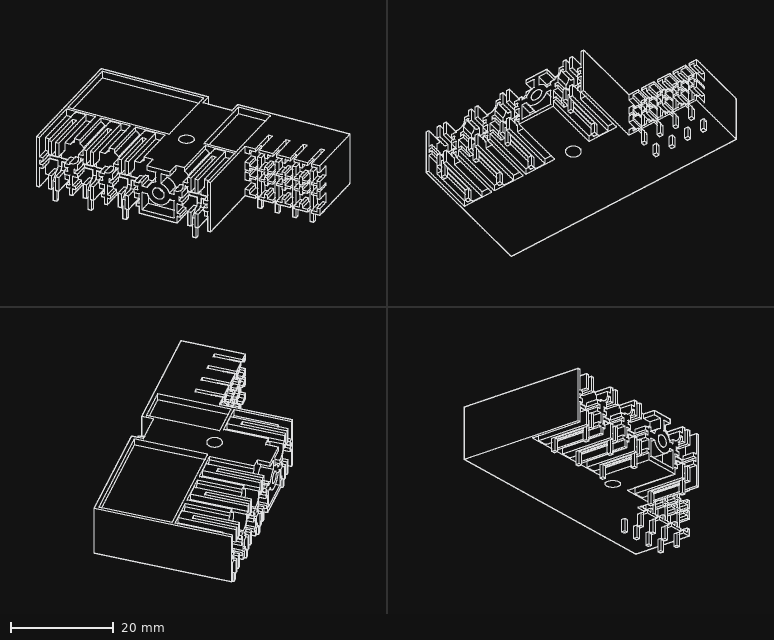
import cadquery as cq

length = 54.3
depth = 28.3
height = 11.35
mid_z = height / 2
pin_drop = 2.65
wall = 0.65
recess = 1.5
shelf_top = height - recess

power_length = 38.0
signal_front = 15.05
opening_depth = 2.65

power_pitch = 7.6
first_terminal = 3.75
terminal_places = (0, 1, 2, 4)
terminal_centers = [first_terminal + power_pitch * i for i in terminal_places]
fin_centers = [first_terminal + power_pitch * (i + 0.5) for i in range(4)]
fin_thickness = 0.65
bay_back = 11.85
prong_width = 2.3
prong_reach = 3.3
prong_setback = 0.15
blade_thickness = 0.8
blade_front = 2.8
pin_front = 0.6
pin_depth = 0.8
slot_back = 9.2
blade_slope_bottom = 1.8

plate_half_length = 2.2
plate_slot_half_length = 3.1
plate_back = 6.75

wing_reach = 1.45
wing_half_height = 1.25
tab_reach = 1.0
tab_height = 0.75
post_radius = 1.7
post_z = 8.95
post_rib_width = 1.2
shell_radius = 2.1
shell_reach = (power_pitch - prong_width) / 2
shell_lip_z = 9.0

screw_left = fin_centers[2]
screw_right = fin_centers[3]
screw_x = 26.6
canopy_width = 5.05
boss_radius = canopy_width / 2
bore_radius = 1.25
bay_plate = 1.0
band_height = 1.45
band_half_height = band_height / 2
stem_width = 1.15
back_notch_width = 6.35
back_notch_depth = 2.45
cross_hole_radius = 1.5
cross_hole_y = 12.3

pocket_front = 12.45
pocket_back = 27.5

signal_pitch = 3.8
signal_pin_count = 4
first_signal_pin = 40.7
signal_blade_front = 16.0
signal_blade_top = 9.0
signal_slot_back = 20.8
signal_plate = 0.5
signal_plate_offset = 1.15
signal_tab_height = 1.8
signal_tab_half_height = signal_tab_height / 2
signal_left_tab = 1.0


def block(x0, x1, y0, y1, z0, z1):
    return cq.Workplane("XY").box(x1 - x0, y1 - y0, z1 - z0, centered=False).translate((x0, y0, z0))


def rod(x, z, radius, y0, y1):
    """Cylinder along Y."""
    return cq.Workplane("XZ", origin=(x, y0, z)).circle(radius).extrude(y0 - y1)


def centered_block(x, width, y0, y1, z0, z1):
    return block(x - width / 2, x + width / 2, y0, y1, z0, z1)


def housing():
    """Power section core behind its open front, with the two outer walls, plus the signal section."""
    body = block(0, power_length, opening_depth, depth, 0, height)
    body = body.union(block(power_length, length, signal_front, depth, 0, height))
    body = body.union(block(0, wall, 0, opening_depth, 0, height))
    return body.union(block(power_length - wall, power_length, 0, opening_depth, 0, height))


def terminal_bays():
    """Pockets above and below the shelf, clear of the screw bay."""
    bays = None
    for x0, x1 in ((wall, screw_left), (screw_right, power_length - wall)):
        for z0, z1 in ((0, recess), (shelf_top, height)):
            bay = block(x0, x1, opening_depth, bay_back, z0, z1)
            bays = bay if bays is None else bays.union(bay)
    return bays


def top_pockets():
    left = block(wall, screw_left, pocket_front, pocket_back, shelf_top, height)
    return left.union(block(screw_right, power_length - wall, pocket_front, pocket_back, shelf_top, height))


def post(x):
    """Round post standing half out of the shelf, with a rib up to the top face."""
    rib = centered_block(x, post_rib_width, opening_depth, bay_back, shelf_top, height)
    return rib.union(rod(x, post_z, post_radius, opening_depth, bay_back))


def fin(x, stem_top):
    """Front fin with wings and tabs, and a curved shell cradling the post opening on its right."""
    y1 = opening_depth
    half = fin_thickness / 2
    shape = block(x - half, x + half, 0, y1, 0, stem_top)
    shape = shape.union(block(x, x + wing_reach, 0, y1, mid_z, post_z))
    quarter = block(x, x + shell_radius, 0, y1, mid_z, shelf_top)
    shape = shape.union(rod(x, post_z, shell_radius, 0, y1).intersect(quarter))
    shape = shape.union(block(x, x + shell_reach, 0, y1, shell_lip_z, shelf_top))
    shape = shape.cut(rod(x, post_z, post_radius, 0, y1))
    shape = shape.cut(block(x - post_radius, x + post_radius, 0, y1, post_z, height))
    shape = shape.union(wings(x))
    return shape.union(centered_block(x, 2 * tab_reach, 0, y1, recess, recess + tab_height))


def wings(x):
    return centered_block(x, 2 * wing_reach, 0, opening_depth, mid_z - wing_half_height, mid_z + wing_half_height)


def lower_fin(x):
    return centered_block(x, fin_thickness, opening_depth, bay_back, 0, recess)


def power_fins():
    """Two full fins, and the outer halves of the two that flank the screw bay."""
    fins = None
    half = fin_thickness / 2
    for x in fin_centers:
        flanks_screw = x in (screw_left, screw_right)
        piece = fin(x, post_z - post_radius if flanks_screw else post_z)
        if x == screw_left:
            piece = piece.intersect(block(x - shell_reach, x + half, 0, opening_depth, 0, post_z))
        if x == screw_right:
            piece = piece.intersect(block(x - half, x + shell_reach, 0, opening_depth, 0, height))
        piece = piece.union(post(x)).union(lower_fin(x))
        fins = piece if fins is None else fins.union(piece)
    return fins


def wall_wings():
    """Wings on the inner faces of the two outer walls."""
    inside = block(wall, power_length - wall, 0, opening_depth, 0, height)
    left = wings(terminal_centers[0] - power_pitch / 2)
    right = wings(terminal_centers[-1] + power_pitch / 2)
    return left.union(right).intersect(inside)


def prongs(x):
    """Upper and lower terminal ridges, reaching out to the front face."""
    y1 = opening_depth
    top = height - prong_setback
    ridge = centered_block(x, prong_width, 0, y1, height - prong_reach, top)
    ridge = ridge.union(centered_block(x, prong_width, y1, bay_back, shelf_top, top))
    ridge = ridge.union(centered_block(x, prong_width, 0, y1, prong_setback, prong_reach))
    return ridge.union(centered_block(x, prong_width, y1, bay_back, prong_setback, recess))


def terminal_slots(x):
    """Upright slot for the blade, crossed by a level slot for the plate."""
    upright = centered_block(x, blade_thickness, 0, slot_back, 0, height)
    half = blade_thickness / 2
    level = centered_block(x, 2 * plate_slot_half_length, 0, plate_back, mid_z - half, mid_z + half)
    return upright.union(level)


def terminal_contact(x):
    """Blade with a sloped nose, its cross plate and its two pins."""
    half = blade_thickness / 2
    nose_rise = blade_front - pin_front
    outline = [
        (pin_front, -pin_drop),
        (pin_front, blade_slope_bottom),
        (blade_front, blade_slope_bottom + nose_rise),
        (blade_front, mid_z),
        (slot_back, mid_z),
        (slot_back, -pin_drop),
        (slot_back - pin_depth, -pin_drop),
        (slot_back - pin_depth, 0),
        (pin_front + pin_depth, 0),
        (pin_front + pin_depth, -pin_drop),
    ]
    blade = cq.Workplane("YZ", origin=(x - half, 0, 0)).polyline(outline).close().extrude(blade_thickness)
    plate = centered_block(x, 2 * plate_half_length, blade_front, plate_back, mid_z - half, mid_z + half)
    return blade.union(plate)


def screw_bay():
    """Open box, side band and canopy that hold the front screw boss."""
    y1 = opening_depth
    left = screw_left + fin_thickness / 2
    right = screw_right - fin_thickness / 2
    bay = block(left, right, 0, y1, 0, bay_plate)
    bay = bay.union(block(left, right, 0, y1, mid_z - band_half_height, mid_z + band_half_height))
    bay = bay.union(centered_block(screw_x, stem_width, 0, y1, mid_z, height))
    bay = bay.union(centered_block(screw_x, canopy_width, 0, y1, height - bay_plate, height))
    return bay.union(rod(screw_x, mid_z, boss_radius, 0, y1))


def back_notch():
    """Notch in the back face, shaped around the rear screw boss."""
    y0 = depth - back_notch_depth
    notch = centered_block(screw_x, back_notch_width, y0, depth, mid_z + band_half_height, height)
    return notch.cut(rod(screw_x, mid_z, boss_radius, y0, depth))


def screw_holes():
    """Blind bore into the front boss and a hole straight down through the housing behind it."""
    upright = cq.Workplane("XY", origin=(screw_x, cross_hole_y, 0)).circle(cross_hole_radius).extrude(height)
    return rod(screw_x, mid_z, bore_radius, 0, opening_depth).union(upright)


def signal_openings():
    """Open front of the signal section, less the plates and tabs that divide it."""
    y0 = signal_front
    y1 = signal_front + opening_depth
    opening = block(power_length, length, y0, y1, 0, height)
    tab_columns = [(power_length, power_length + signal_left_tab), (length - wall, length)]
    for i in range(signal_pin_count - 1):
        x = first_signal_pin + signal_pitch * (i + 0.5)
        tab_columns.append((x - wall / 2, x + wall / 2))
    shelves = [(0, wall, 0, recess), (height - wall, height, shelf_top, height)]
    for z in (mid_z - signal_plate_offset, mid_z + signal_plate_offset):
        half = signal_plate / 2
        shelves.append((z - half, z + half, z - signal_tab_half_height, z + signal_tab_half_height))
    for plate_z0, plate_z1, tab_z0, tab_z1 in shelves:
        opening = opening.cut(block(power_length, length, y0, y1, plate_z0, plate_z1))
        for x0, x1 in tab_columns:
            opening = opening.cut(block(x0, x1, y0, y1, tab_z0, tab_z1))
    return opening


def signal_slot(x):
    return centered_block(x, blade_thickness, signal_front, signal_slot_back, 0, height)


def signal_contact(x):
    """Blade with a pin below each end."""
    y0 = signal_blade_front
    y1 = signal_slot_back
    contact = centered_block(x, blade_thickness, y0, y1, 0, signal_blade_top)
    contact = contact.union(centered_block(x, blade_thickness, y0, y0 + pin_depth, -pin_drop, 0))
    return contact.union(centered_block(x, blade_thickness, y1 - pin_depth, y1, -pin_drop, 0))


result = housing().cut(terminal_bays()).cut(top_pockets())
result = result.union(power_fins()).union(wall_wings()).union(screw_bay())
result = result.cut(back_notch()).cut(screw_holes()).cut(signal_openings())

for terminal_x in terminal_centers:
    result = result.union(prongs(terminal_x))
    result = result.cut(terminal_slots(terminal_x))
    result = result.union(terminal_contact(terminal_x))

for index in range(signal_pin_count):
    pin_x = first_signal_pin + signal_pitch * index
    result = result.cut(signal_slot(pin_x))
    result = result.union(signal_contact(pin_x))